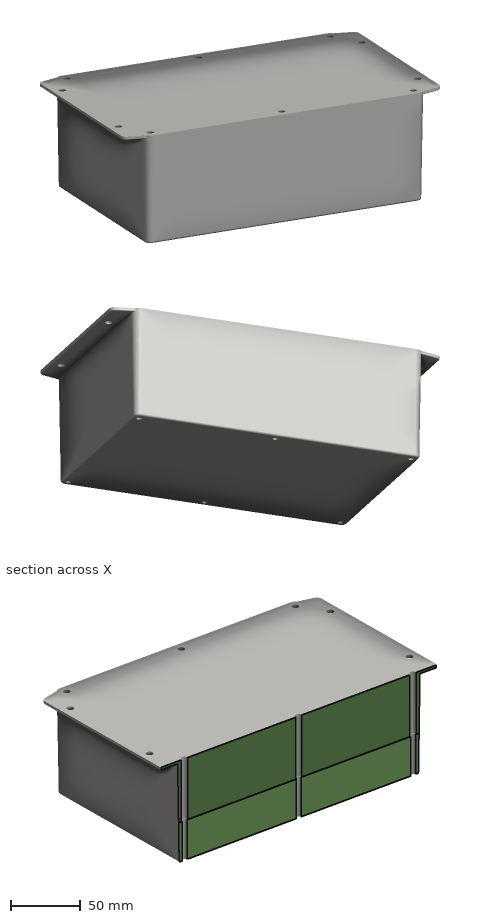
import cadquery as cq
import math

WIDTH = 147.7
FLANGE_LENGTH = 254.2
HEIGHT = 82.0
BOX_LENGTH = 223.2

BASE_HEIGHT = 32.3
CORNER_RADIUS = 5.5
DRAFT_ANGLE = 1.0
BOTTOM_FILLET = 1.5

FLANGE_THICKNESS = 2.5
FLANGE_END_WIDTH = 135.8
FLANGE_SIDE_ANGLE = 14.0
FLANGE_CORNER_RADIUS = 4.0
FLANGE_EDGE_FILLET = 0.8

MOUNT_HOLE_DIAMETER = 5.5
MOUNT_HOLE_X = 45.0
MOUNT_HOLE_Y = 119.5
CLEARANCE_HOLE_DIAMETER = 5.3
SCREW_HOLE_DIAMETER = 4.0
SCREW_HOLE_X = 66.9
SCREW_HOLE_Y = 105.0

SCREW_POINTS = [
    (x, y)
    for x in (-SCREW_HOLE_X, SCREW_HOLE_X)
    for y in (-SCREW_HOLE_Y, 0, SCREW_HOLE_Y)
]
MOUNT_POINTS = [
    (x, y)
    for x in (-MOUNT_HOLE_X, MOUNT_HOLE_X)
    for y in (-MOUNT_HOLE_Y, MOUNT_HOLE_Y)
]


def tapered_box(top_z, bottom_z):
    """Slice of the drafted box between two heights."""
    inset = (HEIGHT - top_z) * math.tan(math.radians(DRAFT_ANGLE))
    outline = cq.Sketch().rect(WIDTH - 2 * inset, BOX_LENGTH - 2 * inset)
    outline = outline.vertices().fillet(CORNER_RADIUS - inset)
    return (
        cq.Workplane("XY", origin=(0, 0, top_z))
        .placeSketch(outline)
        .extrude(bottom_z - top_z, taper=DRAFT_ANGLE)
    )


def through_holes(points, diameter):
    """Vertical cutters over the full height."""
    return cq.Workplane("XY").pushPoints(points).circle(diameter / 2).extrude(HEIGHT)


def rear_flange():
    """Tapered flange that projects from the box at +Y; its root is buried in the box."""
    root_y = BOX_LENGTH / 2 - CORNER_RADIUS
    end_y = FLANGE_LENGTH / 2
    end_x = FLANGE_END_WIDTH / 2
    root_x = end_x + (end_y - root_y) * math.tan(math.radians(FLANGE_SIDE_ANGLE))
    flange = (
        cq.Workplane("XY", origin=(0, 0, HEIGHT - FLANGE_THICKNESS))
        .polyline([(-root_x, root_y), (root_x, root_y), (end_x, end_y), (-end_x, end_y)])
        .close()
        .extrude(FLANGE_THICKNESS)
    )
    flange = flange.faces(">Y").edges("|Z").fillet(FLANGE_CORNER_RADIUS)
    return flange.faces("<Z").edges().fillet(FLANGE_EDGE_FILLET)


def make_base():
    base = tapered_box(BASE_HEIGHT, 0).faces("<Z").edges().fillet(BOTTOM_FILLET)
    return base.cut(through_holes(SCREW_POINTS, SCREW_HOLE_DIAMETER))


def make_cover():
    flange = rear_flange()
    cover = tapered_box(HEIGHT, BASE_HEIGHT)
    cover = cover.union(flange).union(flange.mirror("XZ"))
    cover = cover.cut(through_holes(SCREW_POINTS, CLEARANCE_HOLE_DIAMETER))
    return cover.cut(through_holes(MOUNT_POINTS, MOUNT_HOLE_DIAMETER))


base = make_base()
cover = make_cover()
result = cq.Compound.makeCompound([base.val(), cover.val()])